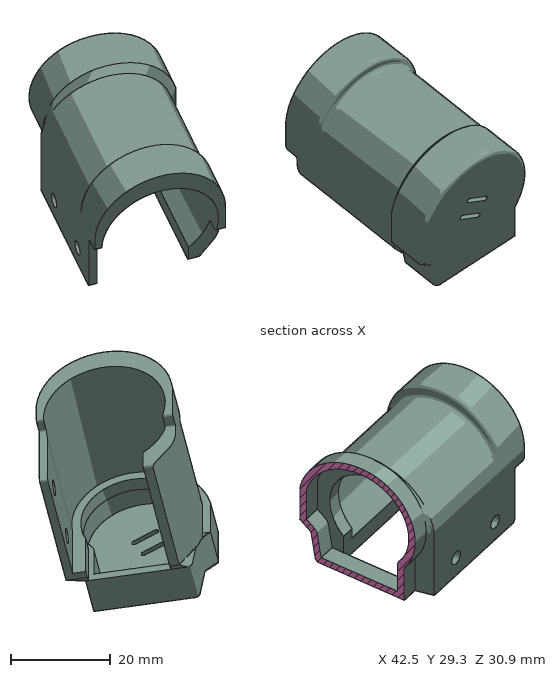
import cadquery as cq
import math


cap_end = 9.3
barrel_start = 10.64
ring_start = 33.5
leg_end = 39.1
total_length = 42.5

half_width = 13.95
shoulder_height = 16.45
neck_crease_height = 6.4
barrel_top = 28.25
ring_top = 30.94
flank_start = (half_width, 8.2)
flank_bend = (13.6, 6.3)
flank_end = (12.9, 4.7)
foot_edge = 9.2
flank_splits = (0.35, 0.7)

cap_base = 0.45
cap_side = -10.2
cap_top = 29.83
cap_outer = 15.36
cap_near_radius = 12.95
cap_near_axis = cap_top - cap_near_radius
cap_far_radius = 15.3
cap_far_axis = (0.47, cap_top - cap_far_radius)
cap_seam_angle = 154.0
cap_rim_low = (cap_outer, 9.6)
cap_step = (12.65, 7.6)
cap_leg_foot = (11.5, cap_base)
cap_step_radius = 0.8
cap_foot_radius = 1.1

front_round = 1.0
ring_round = 1.0
rear_round = 0.8
step_inner_round = 0.5
cap_rim_round = 1.5

wall = 1.7
passage_radius = 10.6
leg_slot_near = -12.25
leg_slot_far = 7.26
neck_slot_near = -9.6

near_step_height = 13.94
far_step_height = 10.3

hole_diameter = 3.05
hole_positions = (18.4, 32.2)
hole_height = 4.62

vent_width = 1.0
vent_length = 6.0
vent_pitch = 4.0
vent_angle = 28.4
vent_center = (1.48, 16.91)
vent_count = 2

cut_margin = 5.0


def arch_radius(height):
    """Radius of an arch of the given height that spans the full barrel width."""
    return (half_width**2 + height**2) / (2 * height)


barrel_radius = arch_radius(barrel_top - shoulder_height)
barrel_axis = barrel_top - barrel_radius
ring_radius = arch_radius(ring_top - shoulder_height)
ring_axis = ring_top - ring_radius
bore_radius = barrel_radius - wall


def section_plane(x):
    """Plane across the part at x, with local axes along Y and Z."""
    return cq.Workplane("YZ", origin=(x, 0, 0))


def span_box(x_range, y_range, z_range):
    """Box from a low and a high limit on each axis."""
    ranges = (x_range, y_range, z_range)
    sizes = [high - low for low, high in ranges]
    corner = cq.Vector(*[low for low, high in ranges])
    return cq.Workplane(cq.Solid.makeBox(*sizes, corner))


def on_barrel_roof(y):
    """Point of the barrel roof arc at the given y."""
    return (y, barrel_axis + math.sqrt(barrel_radius**2 - y**2))


def along_flank(fraction):
    """Point on the straight slope between the flank bend and the foot."""
    y = flank_end[0] + fraction * (foot_edge - flank_end[0])
    return (y, flank_end[1] * (1 - fraction))


def arc_point(center, radius, angle):
    """Point of a circle at an angle in degrees, measured from +Y towards +Z."""
    turn = math.radians(angle)
    return (center[0] + radius * math.cos(turn), center[1] + radius * math.sin(turn))


def rounded_corner(before, corner, after, radius):
    """Start, middle and end points of the arc that rounds a corner between two straight sides."""
    corner = cq.Vector(*corner)
    to_before = (cq.Vector(*before) - corner).normalized()
    to_after = (cq.Vector(*after) - corner).normalized()
    half_angle = to_before.getAngle(to_after) / 2
    setback = radius / math.tan(half_angle)
    bisector = (to_before + to_after).normalized()
    start = corner + to_before * setback
    middle = corner + bisector * (radius / math.sin(half_angle) - radius)
    end = corner + to_after * setback
    return [(point.x, point.y) for point in (start, middle, end)]


def cap_outline(x):
    """Cap section: one large arc on each side over a narrower foot, stepped in on the far side."""
    step = rounded_corner(cap_rim_low, cap_step, cap_leg_foot, cap_step_radius)
    foot = rounded_corner(cap_step, cap_leg_foot, (cap_side, cap_base), cap_foot_radius)
    near_low_angle = 360 - math.degrees(math.acos(cap_side / cap_near_radius))
    far_end_angle = math.degrees(math.acos((cap_outer - cap_far_axis[0]) / cap_far_radius))

    def near_arc(angle):
        return arc_point((0, cap_near_axis), cap_near_radius, angle)

    def far_arc(angle):
        return arc_point(cap_far_axis, cap_far_radius, angle)

    return (
        section_plane(x)
        .moveTo(cap_side, cap_base)
        .lineTo(*near_arc(near_low_angle))
        .threePointArc(near_arc((near_low_angle + cap_seam_angle) / 2), near_arc(cap_seam_angle))
        .threePointArc(near_arc((cap_seam_angle + 90) / 2), (0, cap_top))
        .lineTo(cap_far_axis[0], cap_top)
        .threePointArc(far_arc((90 + far_end_angle) / 2), far_arc(far_end_angle))
        .lineTo(*cap_rim_low)
        .lineTo(*step[0])
        .threePointArc(step[1], step[2])
        .lineTo(*foot[0])
        .threePointArc(foot[1], foot[2])
        .close()
    )


def barrel_outline(x):
    """Barrel section, split into as many edges as the cap section so the two can be blended."""
    roof_seam = cap_far_axis[0]
    return (
        section_plane(x)
        .moveTo(-half_width, 0)
        .lineTo(-half_width, neck_crease_height)
        .lineTo(-half_width, shoulder_height)
        .threePointArc(on_barrel_roof(-half_width / 2), (0, barrel_top))
        .threePointArc(on_barrel_roof(roof_seam / 2), on_barrel_roof(roof_seam))
        .threePointArc(on_barrel_roof(half_width / 2), (half_width, shoulder_height))
        .lineTo(*flank_start)
        .threePointArc(flank_bend, flank_end)
        .lineTo(*along_flank(flank_splits[0]))
        .lineTo(*along_flank(flank_splits[1]))
        .lineTo(foot_edge, 0)
        .close()
    )


def make_cap():
    blank = cap_outline(0).extrude(cap_end)
    far_side = blank.faces(">Y").edges("|X and >Z")
    return far_side.fillet(cap_rim_round).faces("<X").edges().fillet(front_round)


def make_neck():
    wires = [cap_outline(cap_end).wire().val(), barrel_outline(barrel_start).wire().val()]
    return cq.Workplane(cq.Solid.makeLoft(wires, True))


def make_ring():
    """Raised ring with a rounded front edge, kept only above the barrel shoulders."""
    length = total_length - ring_start
    disc = section_plane(ring_start).center(0, ring_axis).circle(ring_radius).extrude(length)
    disc = disc.faces("<X").edges().fillet(ring_round)
    reach = half_width + cut_margin
    above_shoulders = span_box(
        (ring_start, total_length),
        (-reach, reach),
        (shoulder_height, ring_top + cut_margin),
    )
    return disc.intersect(above_shoulders)


def make_barrel():
    barrel = barrel_outline(barrel_start).extrude(total_length - barrel_start)
    return barrel.union(make_ring())


def fill_ring_corner(body):
    """Round the inside corner where the ring rises from the barrel roof."""
    ring_front = cq.selectors.BoxSelector(
        (ring_start - ring_round, -half_width, shoulder_height),
        (ring_start + ring_round / 2, half_width, ring_top),
        boundingbox=True,
    )
    return body.edges(ring_front).edges("<Z").fillet(ring_round)


def make_cavity():
    """Hollow cap, narrower neck passage and barrel bore, with the barrel open below and behind."""
    bore_start = barrel_start + wall
    below = -cut_margin
    behind = total_length + cut_margin
    cap_hollow = cap_outline(wall).offset2D(-wall).extrude(cap_end - wall)
    passage = section_plane(cap_end).center(0, barrel_axis).circle(passage_radius)
    passage = passage.extrude(bore_start - cap_end)
    bore = section_plane(bore_start).center(0, barrel_axis).circle(bore_radius)
    bore = bore.extrude(behind - bore_start)
    neck_slot = span_box((cap_end, bore_start), (neck_slot_near, leg_slot_far), (below, barrel_axis))
    leg_slot = span_box((bore_start, behind), (leg_slot_near, leg_slot_far), (below, barrel_axis))
    return cap_hollow.union(passage).union(bore).union(neck_slot).union(leg_slot)


def make_rear_step(step_height, side):
    """Space behind one leg and under its rear overhang; side is -1 or +1 along Y."""
    inner_end = leg_end + step_inner_round
    overhang_end = step_height + rear_round
    behind = total_length + cut_margin
    outline = (
        cq.Workplane("XZ")
        .moveTo(leg_end - rear_round, -cut_margin)
        .lineTo(leg_end - rear_round, 0)
        .radiusArc((leg_end, rear_round), -rear_round)
        .lineTo(leg_end, step_height - step_inner_round)
        .radiusArc((inner_end, step_height), step_inner_round)
        .lineTo(total_length - rear_round, step_height)
        .radiusArc((total_length, overhang_end), -rear_round)
        .lineTo(behind, overhang_end)
        .lineTo(behind, -cut_margin)
        .close()
    )
    return outline.extrude(-side * (half_width + cut_margin))


def make_screw_hole(x):
    """Hole through the near wall only."""
    hole = cq.Workplane("XZ").center(x, hole_height).circle(hole_diameter / 2)
    return hole.extrude(half_width + cut_margin)


def make_vents():
    """Row of parallel slanted slots through the front wall."""
    span = vent_pitch * (vent_count - 1)
    offsets = [(0, index * vent_pitch - span / 2) for index in range(vent_count)]
    return (
        section_plane(-cut_margin)
        .center(*vent_center)
        .transformed(rotate=(0, 0, vent_angle))
        .pushPoints(offsets)
        .slot2D(vent_length, vent_width)
        .extrude(wall + 2 * cut_margin)
    )


result = make_cap().union(make_neck()).union(make_barrel())
result = result.cut(make_cavity())
result = result.cut(make_rear_step(near_step_height, -1))
result = result.cut(make_rear_step(far_step_height, 1))
for hole_x in hole_positions:
    result = result.cut(make_screw_hole(hole_x))
result = result.cut(make_vents())
result = fill_ring_corner(result)